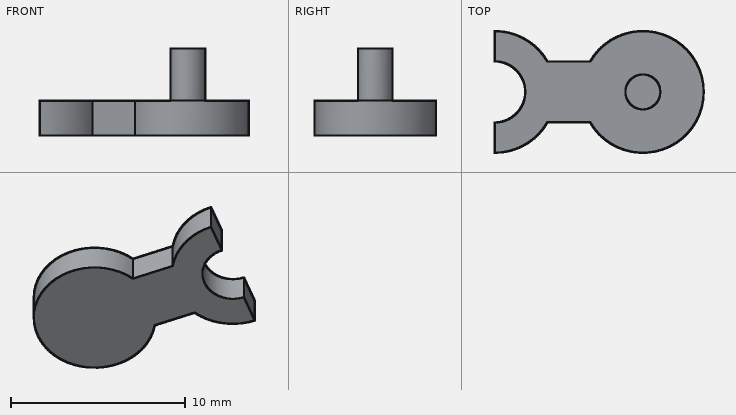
import cadquery as cq

length = 12.0
head_diameter = 7.0
plate_thickness = 2.0
pin_diameter = 2.0
pin_height = 3.0

head_radius = head_diameter / 2
socket_diameter = head_diameter / 2
neck_width = head_diameter / 2
center_distance = length - head_radius


def cylinder_at(x, diameter, height, base_z=0):
    """Upright cylinder on the part's centerline."""
    return cq.Workplane("XY", origin=(x, 0, base_z)).circle(diameter / 2).extrude(height)


neck = cq.Workplane("XY").box(
    center_distance, neck_width, plate_thickness, centered=(False, True, False)
)
plate = (
    cylinder_at(0, head_diameter, plate_thickness)
    .union(neck)
    .union(cylinder_at(center_distance, head_diameter, plate_thickness))
)

open_side = cq.Workplane("XY").box(
    head_radius, head_diameter, plate_thickness, centered=(False, True, False)
).translate((-head_radius, 0, 0))
plate = plate.cut(cylinder_at(0, socket_diameter, plate_thickness)).cut(open_side)

pin = cylinder_at(center_distance, pin_diameter, pin_height, plate_thickness)

result = plate.union(pin)